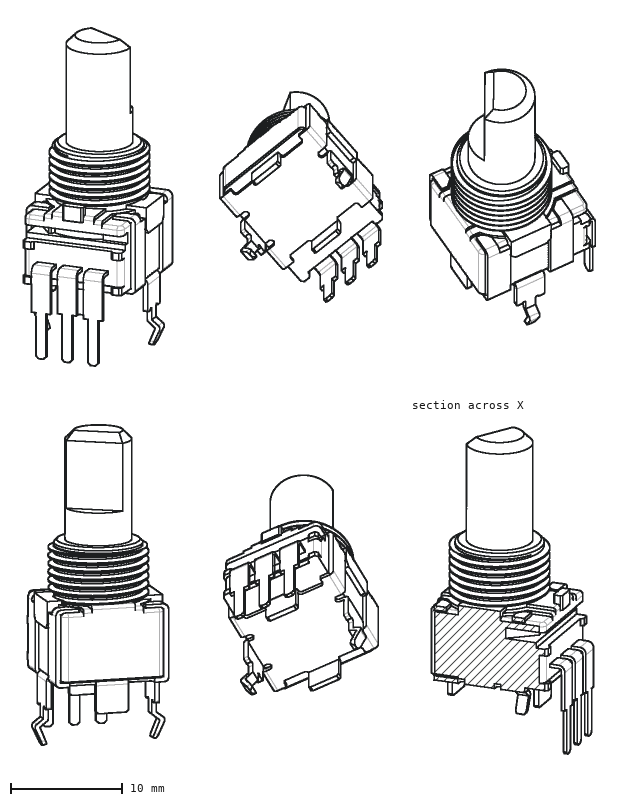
import cadquery as cq


SHAFT_RADIUS = 3.0
SHAFT_TOP = 22.43
SHAFT_CHAMFER = 0.8
FLAT_DISTANCE = 1.5
FLAT_BOTTOM = 15.45
FLAT_ANGLE = 60

BUSHING_RADIUS = 4.0
BUSHING_TOP = 12.45
BUSHING_CHAMFER = 0.25
FLANGE_RADIUS = 4.75
THREAD_RADIUS = 4.5
THREAD_PITCH = 0.75
THREAD_START = 7.3
THREAD_TURNS = 6.75
THREAD_END = 11.97
THREAD_ROOT_HALF = 0.35
THREAD_CREST_HALF = 0.05
THREAD_OVERLAP = 0.15

SHEET = 0.45
FRAME_HALF_X = 5.27
FRAME_HALF_Y = 4.4
FRAME_TOP = 7.12
FRAME_TOP_BEND = 0.57
FRAME_FLOOR_BEND = 0.43
FRAME_INNER_X = FRAME_HALF_X - SHEET
WALL_NOTCH_BOTTOM = 6.47
WINDOW_HALF_Y = 2.05
FLAP_INNER_X = 3.1
FLAP_INNER_Y = 3.15
FLAP_CHAMFER = 0.63

LEG_HALF_WIDTH = 1.45
TAB_HALF_WIDTH = 1.5
TAB_BOTTOM = -2.56
TAB_CORNER = 0.2
TAB_BEND = 0.43
RELIEF_END_X = 3.95
RELIEF_DEPTH = 0.68
RELIEF_CORNER = 0.28
PRONG_HALF_WIDTH = 0.5
PRONG_NOTCH_RADIUS = 0.17
PRONG_BOTTOM = -6.07
OVERALL_WIDTH = 12.1
PRONG_TIP_X = OVERALL_WIDTH / 2
KINK_OUTER_Z = -3.55
KINK_INNER_Z = -3.7
ELBOW_Z = -4.33
ELBOW_UPPER = (-5.87, -4.02)
ELBOW_LOWER = (-5.98, -4.55)
ELBOW_INNER = (-5.6, -4.33)
PRONG_END_INNER = (-4.93, -5.9)

BODY_HALF_X = 4.75
BODY_BACK = 4.82
BODY_BACK_CHAMFER = 0.15
BODY_FRONT = -6.27
BODY_CORNER = 0.5
LEDGE_FRONT = -5.5
LEDGE_TOP = 4.95
WAFER_TOP = 4.45
FOOT_FRONT = -6.55
FOOT_INNER_X = 3.73
FOOT_CHAMFER = 0.23
FOOT_HEIGHT = 0.68
STEP_DEPTH = 0.17
PANEL_HALF_X = 4.93
ROTOR_RADIUS = 5.27
ROTOR_HALF_WIDTH = 2.4
GAP_FRONT = -5.0
GAP_SLOPE_X = -2.88
GAP_SLOPE_DEPTH = 2.42
POCKET_LIP_X = -2.62
POCKET_FLOOR = -4.62
COVER_BOTTOM = 5.93
COVER_EDGE = 0.3
COVER_STEPS = ((BODY_HALF_X, 6.85), (2.8, FRAME_TOP), (2.02, 7.4))
BAND_HALF_X = 5.4
BAND_TOP = 7.47
BAND_CHAMFER = 0.45
LUG_HALF_X = 1.0
LUG_BACK = -5.6
LUG_FRONT = -6.45
LUG_BOTTOM = 6.85
LUG_TOP = 8.25
LUG_CHAMFER = 0.17

PIN_PITCH = 2.5
PIN_THICKNESS = 0.3
PIN_WIDE = 1.82
PIN_NARROW = 0.97
PIN_TOP = 2.56
PIN_FRONT = -7.7
PIN_BEND = 0.6
PIN_BOTTOM = -6.05
PIN_TIP_CHAMFER = 0.25
PIN_SHOULDER = -1.75
MIDDLE_PIN_SHOULDER = -1.57


def block(x0, x1, y0, y1, z0, z1):
    return cq.Workplane("XY").box(x1 - x0, y1 - y0, z1 - z0, centered=False).translate((x0, y0, z0))


def both_sides(shape):
    return shape.union(shape.mirror("YZ"))


def make_shaft():
    height = SHAFT_TOP - FLAT_BOTTOM
    upper = cq.Workplane("XY").circle(SHAFT_RADIUS).extrude(height)
    upper = upper.intersect(
        block(-SHAFT_RADIUS, FLAT_DISTANCE, -SHAFT_RADIUS, SHAFT_RADIUS, 0, height)
    )
    upper = upper.faces(">Z").chamfer(SHAFT_CHAMFER)
    upper = upper.rotate((0, 0, 0), (0, 0, 1), FLAT_ANGLE).translate((0, 0, FLAT_BOTTOM))
    lower = cq.Workplane("XY").workplane(offset=BAND_TOP).circle(SHAFT_RADIUS)
    return lower.extrude(FLAT_BOTTOM - BAND_TOP).union(upper)


def make_bushing():
    core = cq.Workplane("XY").workplane(offset=COVER_BOTTOM).circle(BUSHING_RADIUS)
    core = core.extrude(BUSHING_TOP - COVER_BOTTOM).faces(">Z").chamfer(BUSHING_CHAMFER)
    helix = cq.Wire.makeHelix(THREAD_PITCH, THREAD_PITCH * THREAD_TURNS, BUSHING_RADIUS)
    root = BUSHING_RADIUS - THREAD_OVERLAP
    ridge = (
        cq.Workplane("XZ")
        .polyline(
            [
                (root, -THREAD_ROOT_HALF),
                (THREAD_RADIUS, -THREAD_CREST_HALF),
                (THREAD_RADIUS, THREAD_CREST_HALF),
                (root, THREAD_ROOT_HALF),
            ]
        )
        .close()
        .sweep(cq.Workplane(obj=helix), isFrenet=True)
    )
    ridge = ridge.translate((0, 0, THREAD_START))
    envelope = cq.Workplane("XY").circle(2 * THREAD_RADIUS).extrude(THREAD_END)
    flange = cq.Workplane("XY").workplane(offset=COVER_BOTTOM).circle(FLANGE_RADIUS)
    flange = flange.extrude(FRAME_TOP - COVER_BOTTOM)
    return core.union(ridge.intersect(envelope)).union(flange)


def make_frame():
    frame = block(-FRAME_HALF_X, FRAME_HALF_X, -FRAME_HALF_Y, FRAME_HALF_Y, 0, FRAME_TOP)
    frame = frame.edges("|Y and >Z").fillet(FRAME_TOP_BEND)
    frame = frame.edges("|Y and <Z").fillet(FRAME_FLOOR_BEND)
    frame = frame.cut(
        block(
            -FRAME_INNER_X, FRAME_INNER_X, -FRAME_HALF_Y, FRAME_HALF_Y, SHEET, FRAME_TOP - SHEET
        )
    )
    reach = 2 * FRAME_HALF_X
    frame = frame.cut(cq.Workplane("XY").box(reach, 2 * WINDOW_HALF_Y, 2 * FRAME_TOP))
    notch_height = 2 * (FRAME_TOP - WALL_NOTCH_BOTTOM)
    frame = frame.cut(
        cq.Workplane("XY").box(reach, 2 * FLAP_INNER_Y, notch_height).translate((0, 0, FRAME_TOP))
    )
    opening_height = 2 * SHEET
    opening = cq.Workplane("XY").box(2 * FLAP_INNER_X, 2 * FRAME_HALF_Y, opening_height)
    clip = FLAP_INNER_Y + FLAP_INNER_X + FLAP_CHAMFER
    diamond = (
        cq.Workplane("XY")
        .polyline([(clip, 0), (0, clip), (-clip, 0), (0, -clip)])
        .close()
        .extrude(opening_height)
        .translate((0, 0, -SHEET))
    )
    frame = frame.cut(opening.union(diamond).translate((0, 0, FRAME_TOP)))
    floor = block(-FRAME_INNER_X, FRAME_INNER_X, -WINDOW_HALF_Y, WINDOW_HALF_Y, 0, SHEET)
    frame = frame.union(floor)
    clearance = cq.Workplane("XY").box(2 * TAB_HALF_WIDTH, 2 * SHEET, 2 * SHEET)
    for y in (-FRAME_HALF_Y, FRAME_HALF_Y):
        frame = frame.cut(clearance.translate((0, y, 0)))
    relief = cq.Workplane("XY").box(RELIEF_END_X - TAB_HALF_WIDTH, 2 * RELIEF_DEPTH, 2 * SHEET)
    relief = relief.edges("|Z").fillet(RELIEF_CORNER)
    relief_x = (RELIEF_END_X + TAB_HALF_WIDTH) / 2
    for x in (-relief_x, relief_x):
        for y in (-FRAME_HALF_Y, FRAME_HALF_Y):
            frame = frame.cut(relief.translate((x, y, 0)))
    slot = cq.Workplane("XY").box(2 * RELIEF_DEPTH, WINDOW_HALF_Y - LEG_HALF_WIDTH, 2 * SHEET)
    slot = slot.edges("|Z").fillet(RELIEF_CORNER)
    slot_y = (WINDOW_HALF_Y + LEG_HALF_WIDTH) / 2
    for x in (-FRAME_INNER_X, FRAME_INNER_X):
        for y in (-slot_y, slot_y):
            frame = frame.cut(slot.translate((x, y, 0)))
    return frame


def make_tab():
    tab = block(
        -TAB_HALF_WIDTH, TAB_HALF_WIDTH, -FRAME_HALF_Y, SHEET - FRAME_HALF_Y, TAB_BOTTOM, SHEET
    )
    tab = tab.edges("|Y and <Z").chamfer(TAB_CORNER)
    return tab.edges("<Y and >Z").fillet(TAB_BEND)


def make_side_leg():
    """Left leg: a wide strip bent down from the floor, then a narrow prong with a snap bend."""
    side_profile = (
        cq.Workplane("XZ")
        .moveTo(-FRAME_INNER_X, SHEET)
        .lineTo(-FRAME_HALF_X, SHEET)
        .lineTo(-FRAME_HALF_X, KINK_OUTER_Z)
        .lineTo(*ELBOW_UPPER)
        .threePointArc((-PRONG_TIP_X, ELBOW_Z), ELBOW_LOWER)
        .lineTo(-FRAME_HALF_X, PRONG_BOTTOM)
        .lineTo(*PRONG_END_INNER)
        .lineTo(*ELBOW_INNER)
        .lineTo(-FRAME_INNER_X, KINK_INNER_Z)
        .close()
        .extrude(LEG_HALF_WIDTH, both=True)
        .faces(">Z")
        .edges("<X")
        .fillet(TAB_BEND)
    )
    length = 2 * PRONG_TIP_X
    strip = block(-length, 0, -LEG_HALF_WIDTH, LEG_HALF_WIDTH, TAB_BOTTOM, SHEET)
    strip = strip.edges("|X and <Z").fillet(TAB_CORNER)
    tip_z = PRONG_BOTTOM + PRONG_HALF_WIDTH
    prong = block(-length, 0, -PRONG_HALF_WIDTH, PRONG_HALF_WIDTH, tip_z, 0)
    tip = cq.Workplane("YZ").center(0, tip_z).circle(PRONG_HALF_WIDTH).extrude(-length)
    notch_y = PRONG_HALF_WIDTH + PRONG_NOTCH_RADIUS
    notches = (
        cq.Workplane("YZ")
        .pushPoints([(-notch_y, TAB_BOTTOM), (notch_y, TAB_BOTTOM)])
        .circle(PRONG_NOTCH_RADIUS)
        .extrude(-length)
    )
    return side_profile.intersect(strip.cut(notches).union(prong).union(tip))


def make_body():
    body = block(-BODY_HALF_X, BODY_HALF_X, LEDGE_FRONT, BODY_BACK, SHEET, LEDGE_TOP)
    body = body.edges("|Z and >Y").fillet(BODY_CORNER)
    body = body.faces("<Z").edges(">Y").chamfer(BODY_BACK_CHAMFER)
    wafer = block(-BODY_HALF_X, BODY_HALF_X, BODY_FRONT, 0, SHEET, WAFER_TOP)
    wafer = wafer.edges("|Z and <Y").fillet(BODY_CORNER)
    step = block(
        -FOOT_INNER_X, FOOT_INNER_X, BODY_FRONT, BODY_FRONT + STEP_DEPTH, SHEET, SHEET + FOOT_HEIGHT
    )
    body = body.union(wafer.cut(step))
    foot = block(-BODY_HALF_X, -FOOT_INNER_X, FOOT_FRONT, LEDGE_FRONT, 0, FOOT_HEIGHT)
    foot = both_sides(foot.edges("|Z and <Y").chamfer(FOOT_CHAMFER))
    for bottom in (SHEET, WAFER_TOP - FOOT_HEIGHT):
        body = body.union(foot.translate((0, 0, bottom)))
    panel = block(-PANEL_HALF_X, PANEL_HALF_X, -WINDOW_HALF_Y, WINDOW_HALF_Y, SHEET, BAND_TOP)
    return body.union(panel)


def make_rotor_level():
    """Recessed level between the body and the cover, with the rotor edge at its front."""
    height = COVER_BOTTOM - LEDGE_TOP
    level = (
        cq.Workplane("XY")
        .polyline(
            [
                (GAP_SLOPE_X, GAP_FRONT),
                (POCKET_LIP_X, GAP_FRONT),
                (-ROTOR_HALF_WIDTH, POCKET_FLOOR),
                (ROTOR_HALF_WIDTH, POCKET_FLOOR),
                (ROTOR_HALF_WIDTH, GAP_FRONT),
                (BODY_HALF_X, GAP_FRONT),
                (BODY_HALF_X, BODY_BACK),
                (-BODY_HALF_X, BODY_BACK),
                (-BODY_HALF_X, GAP_FRONT + GAP_SLOPE_DEPTH),
            ]
        )
        .close()
        .extrude(height)
        .edges("|Z and >Y")
        .fillet(BODY_CORNER)
    )
    rotor = cq.Workplane("XY").circle(ROTOR_RADIUS).extrude(height)
    rotor = rotor.intersect(
        block(-ROTOR_HALF_WIDTH, ROTOR_HALF_WIDTH, -ROTOR_RADIUS, 0, 0, height)
    )
    return level.union(rotor).translate((0, 0, LEDGE_TOP))


def make_cover():
    outline = block(
        -BODY_HALF_X, BODY_HALF_X, BODY_FRONT, BODY_BACK, COVER_BOTTOM, COVER_STEPS[0][1]
    )
    cover = outline.edges("|Z").fillet(BODY_CORNER).faces(">Z").edges().fillet(COVER_EDGE)
    for half_x, top in COVER_STEPS[1:]:
        step = block(-half_x, half_x, BODY_FRONT, BODY_BACK, COVER_BOTTOM, top)
        cover = cover.union(step.edges("|X and >Z").fillet(COVER_EDGE))
    lug = block(-LUG_HALF_X, LUG_HALF_X, LUG_FRONT, LUG_BACK, LUG_BOTTOM, LUG_TOP)
    return cover.union(lug.edges("|Z").chamfer(LUG_CHAMFER))


def make_band():
    """Metal band across the cover whose ends hang down over the side windows."""
    band = block(-BAND_HALF_X, BAND_HALF_X, -WINDOW_HALF_Y, WINDOW_HALF_Y, LEDGE_TOP, BAND_TOP)
    return band.edges("|X and <Z").chamfer(BAND_CHAMFER)


def make_pin(shoulder):
    side_profile = (
        cq.Workplane("YZ")
        .moveTo(LEDGE_FRONT, PIN_TOP)
        .lineTo(PIN_FRONT + PIN_BEND, PIN_TOP)
        .radiusArc((PIN_FRONT, PIN_TOP - PIN_BEND), -PIN_BEND)
        .lineTo(PIN_FRONT, PIN_BOTTOM)
        .lineTo(PIN_FRONT + PIN_THICKNESS, PIN_BOTTOM)
        .lineTo(PIN_FRONT + PIN_THICKNESS, PIN_TOP - PIN_BEND)
        .radiusArc((PIN_FRONT + PIN_BEND, PIN_TOP - PIN_THICKNESS), PIN_BEND - PIN_THICKNESS)
        .lineTo(LEDGE_FRONT, PIN_TOP - PIN_THICKNESS)
        .close()
        .extrude(PIN_WIDE / 2, both=True)
    )
    wide = block(-PIN_WIDE / 2, PIN_WIDE / 2, PIN_FRONT, 0, shoulder, PIN_TOP)
    narrow = block(-PIN_NARROW / 2, PIN_NARROW / 2, PIN_FRONT, 0, PIN_BOTTOM, 0)
    narrow = narrow.edges("|Y and <Z").chamfer(PIN_TIP_CHAMFER)
    return side_profile.intersect(wide.union(narrow))


tab = make_tab()
result = make_body()
for piece in (
    make_rotor_level(),
    make_cover(),
    make_band(),
    make_frame(),
    tab,
    tab.mirror("XZ"),
    both_sides(make_side_leg()),
    make_bushing(),
    make_shaft(),
):
    result = result.union(piece)
for position in (-1, 0, 1):
    pin = make_pin(PIN_SHOULDER if position else MIDDLE_PIN_SHOULDER)
    result = result.union(pin.translate((position * PIN_PITCH, 0, 0)))